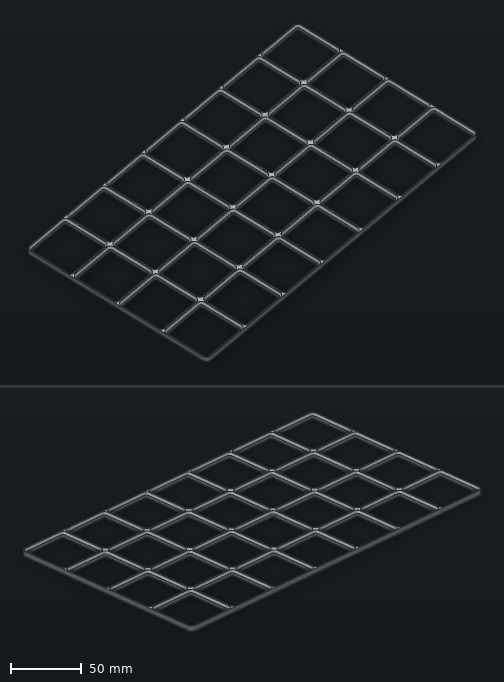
import cadquery as cq

columns = 4
rows = 7
length = 294
pitch = length / rows
width = columns * pitch
height = 4.0

rim_width = 0.5
lead_in = 1.65
wall_height = height - lead_in

throat_radius = 1.85
mouth_radius = throat_radius + lead_in
outer_radius = mouth_radius + rim_width


def rounded_square(inset, radius):
    """Square set in from the cell boundary on every side, with rounded corners."""
    side = pitch - 2 * inset
    return cq.Sketch().rect(side, side).vertices().fillet(radius)


def cell_opening():
    """Through cut for one cell: a straight throat that widens into the mouth."""
    throat = rounded_square(rim_width + lead_in, throat_radius)
    mouth = rounded_square(rim_width, mouth_radius).moved(cq.Location(cq.Vector(0, 0, lead_in)))
    wall = cq.Workplane("XY").placeSketch(throat).extrude(wall_height)
    slope = cq.Workplane("XY", origin=(0, 0, wall_height)).placeSketch(throat, mouth).loft()
    return wall.union(slope).val()


frame = cq.Workplane("XY").rect(width, length).extrude(height).edges("|Z").fillet(outer_radius)

opening = cell_opening()
cell_centres = cq.Workplane("XY").rarray(pitch, pitch, columns, rows)
openings = cell_centres.eachpoint(lambda place: opening.moved(place))

result = frame.cut(openings).solids()